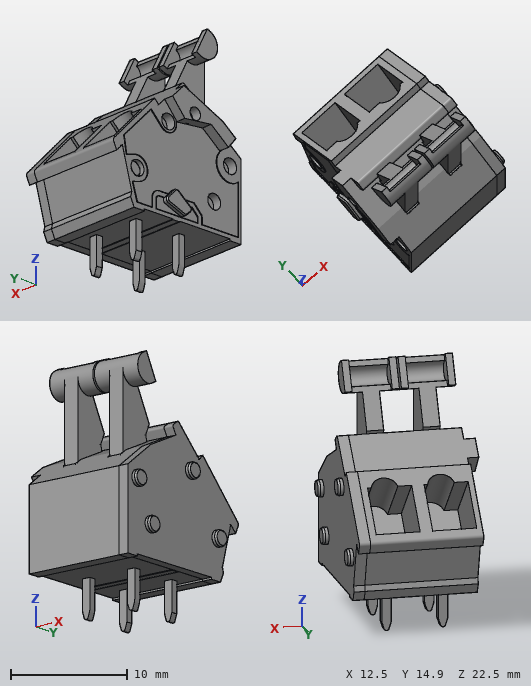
import cadquery as cq
import math


housing_length = 10.0
cover_thickness = 1.0
flange_thickness = 1.01
poles = 2
pole_pitch = 5.0
first_pole_x = pole_pitch / 2

front_wall_top = 7.94
roof_break = (3.05, 10.27)
foot_height = 0.18
front_foot_length = 1.28
rear_foot_start = 11.28
ridge_fillet = 0.2
ridge_foot_y = 6.47
ridge_front = (6.02, 12.61)
ridge_top = (6.8, 13.17)
step_bottom = (9.65, 10.32)
roof_end_y = 7.62
step_top = (10.12, 10.8)
lip_corner = (15.0, 5.66)
lip_fillet = 0.31
lip_underside = [(14.57, 4.75), (13.9, 5.42)]
rear_wall = [(12.8, 1.4), (12.93, 0.88), (12.52, 0)]

rib_start = 7.17
rib_width = 0.79
rib_height = 0.07

flange_inner_edge = [(2.4, 8.05), (4.43, 9.62), (7.5, 9.33)]
flange_front_y = 1.53
flange_rear_y = 8.95
flange_hole_center = (6.3, 10.1)
flange_hole_diameter = 1.21

rear_peg = (12.12, 3.78)
step_peg = (8.52, 9.05)
floor_peg = (3.05, 3.17)
front_peg = (1.28, 6.92)
peg_centers = [rear_peg, step_peg, floor_peg, front_peg]
peg_diameter = 1.5
peg_length = 0.5
peg_tip_length = 0.2
peg_tip_inset = 0.1
peg_hole_depth = 1.0

recess_depth = 0.1
recess_floor = 0.6
recess_front = 0.27
recess_rear_edge = [(10.5, 9.67), (13.67, 6.4), (13.38, 4.72), (12.12, recess_floor)]
rear_boss_radius = 1.21
rear_boss_tilt = 15.3
rear_boss_reach = 2.25
step_boss_radius = 1.0
front_boss_radius = 1.55

arch_rear = 10.36
arch_front = 4.55
arch_top = 2.35
arch_wall = 0.47
arch_rear_radius = 0.83
arch_slope = 0.95
arch_front_radius = 0.34

nub_corners = [(7.87, 3.0), (5.93, 1.45), (6.83, 0.65), (9.26, 1.57)]
nub_corner_radius = 0.34
nub_height = 0.43
nub_edge_height = 0.15
nub_edge_inset = 0.1

entry_width = 3.9
entry_shift = -0.05
entry_depth = 5.17
entry_bottom_y = 14.39
entry_top_y = 11.26
wire_hole_diameter = 2.45
wire_hole_shift = 0.4
wire_hole_top_y = 10.65

lever_stem_width = 1.5
lever_head_width = 4.8
lever_tilt = 27.0
lever_head_center = (4.05, 17.51)
lever_head_radius = 1.4
lever_lug_rise = 0.5
lever_lug_width = 0.63
lever_scoop_radius = 0.88
stem_heel_z = 13.22
stem_waist = [(5.73, 12.16), (5.93, 11.46)]
stem_slot_front = 2.43
stem_slot_depth = 0.45
stem_slot_width = 1.37

rear_pin_y = 10.03
front_pin_y = 5.01
pin_width = 0.83
pin_thickness = 0.67
pin_length = 3.5
pin_taper_length = 0.76
pin_shoulder_radius = 1.01
pin_tip_length = 0.18
pin_tip_width = 0.45


def line_z(start, end, y):
    """Height at a given Y on the line through two (Y, Z) points."""
    return start[1] + (end[1] - start[1]) * (y - start[0]) / (end[0] - start[0])


front_edge = (0, front_wall_top)
roof_end = (roof_end_y, line_z(ridge_top, step_bottom, roof_end_y))


def prism(points, start_x, length):
    """Solid with a (Y, Z) outline, reaching from start_x along +X."""
    return cq.Workplane("YZ").workplane(offset=start_x).polyline(points).close().extrude(length)


def cylinder(center, diameter, start_x, length):
    """Round solid along +X with its axis at a (Y, Z) place."""
    y, z = center
    return cq.Workplane("YZ").workplane(offset=start_x).center(y, z).circle(diameter / 2).extrude(length)


def shell(start_x, length):
    """Slice of the block's outer shape, with the ridge and both feet."""
    outline = [
        (0, 0), front_edge, roof_break, (ridge_foot_y, line_z(roof_break, roof_end, ridge_foot_y)),
        ridge_front, ridge_top, step_bottom, step_top,
        lip_corner, *lip_underside, *rear_wall,
        (rear_foot_start, 0), (rear_foot_start, foot_height),
        (front_foot_length, foot_height), (front_foot_length, 0),
    ]
    body = prism(outline, start_x, length)
    for (y, z), radius in (
        (ridge_front, ridge_fillet), (ridge_top, ridge_fillet), (lip_corner, lip_fillet),
    ):
        corner = cq.selectors.NearestToPointSelector((start_x + length / 2, y, z))
        body = body.edges("|X").edges(corner).fillet(radius)
    return body


def flange():
    """Raised band along the roof, standing out from the end face."""
    front = (flange_front_y, line_z(front_edge, roof_break, flange_front_y))
    rear = (flange_rear_y, line_z(ridge_top, step_bottom, flange_rear_y))
    outline = [front, *flange_inner_edge, rear, roof_end, roof_break]
    return prism(outline, -flange_thickness, flange_thickness)


def boss_strip(center, radius, angle, length):
    """Straight bar as wide as a boss, reaching from its centre at an angle to +Y."""
    y, z = center
    bar = cq.Workplane("YZ").center(y, z).transformed(rotate=(0, 0, angle))
    return bar.center(length / 2, 0).rect(length, 2 * radius).extrude(recess_depth)


def arch_area(inset):
    """Area under the arch's outer (inset 0) or inner line."""
    rear = arch_rear - inset
    front = arch_front + inset
    top = arch_top - inset
    radius = arch_rear_radius - inset
    slope = arch_slope - inset / 2
    area = (
        cq.Workplane("YZ")
        .moveTo(rear, recess_floor)
        .lineTo(rear, top - radius)
        .radiusArc((rear - radius, top), -radius)
        .lineTo(front + slope, top)
        .lineTo(front, top - slope)
        .lineTo(front, recess_floor)
        .close()
        .extrude(recess_depth)
    )
    knee = cq.selectors.NearestToPointSelector((recess_depth / 2, front, top - slope))
    return area.edges("|X").edges(knee).fillet(arch_front_radius)


def end_recess():
    """Shallow recess that leaves the rim, three peg bosses and the arch wall standing."""
    offset = step_boss_radius * math.sqrt(0.5)
    step_tangent = (step_peg[0] + offset, step_peg[1] - offset)
    outline = [
        (recess_front, recess_floor), (recess_front, front_peg[1]), *flange_inner_edge,
        step_peg, step_tangent, *recess_rear_edge,
    ]
    recess = prism(outline, 0, recess_depth)
    for center, radius in (
        (rear_peg, rear_boss_radius), (step_peg, step_boss_radius), (front_peg, front_boss_radius),
    ):
        recess = recess.cut(cylinder(center, 2 * radius, 0, recess_depth))
    recess = recess.cut(boss_strip(rear_peg, rear_boss_radius, -rear_boss_tilt, rear_boss_reach))
    return recess.cut(arch_area(0)).union(arch_area(arch_wall))


def latch_nub():
    """Four-sided nub with rounded corners and a bevelled rim, rising from the recess floor."""
    nub = prism(nub_corners, -nub_height, nub_height + recess_depth)
    nub = nub.edges("|X").fillet(nub_corner_radius)
    return nub.faces("<X").chamfer(nub_edge_height, nub_edge_inset)


def wire_entry(pole_x):
    """Rectangular pocket and round hole, both square to the rear slope."""
    run = step_top[0] - lip_corner[0]
    rise = step_top[1] - lip_corner[1]
    slope_length = math.hypot(run, rise)
    normal = (0, rise / slope_length, -run / slope_length)
    origin = (pole_x, entry_bottom_y, line_z(step_top, lip_corner, entry_bottom_y))
    slope_plane = cq.Workplane(cq.Plane(origin=origin, xDir=(1, 0, 0), normal=normal))
    stretch = slope_length / abs(run)
    pocket_height = (entry_bottom_y - entry_top_y) * stretch
    hole_y = (entry_bottom_y - wire_hole_top_y) * stretch - wire_hole_diameter / 2
    pocket = slope_plane.center(entry_shift, -pocket_height / 2)
    pocket = pocket.rect(entry_width, pocket_height).extrude(-entry_depth)
    hole = slope_plane.center(wire_hole_shift, -hole_y).circle(wire_hole_diameter / 2).extrude(-entry_depth)
    return pocket.union(hole)


def lever_plane(x):
    """Plane across the lever head, its second axis along the head's flat side."""
    tilt = math.radians(lever_tilt)
    along_x = (0, math.cos(tilt), math.sin(tilt))
    return cq.Workplane(cq.Plane(origin=(x, *lever_head_center), xDir=along_x, normal=(1, 0, 0)))


def lever_head(pole_x):
    """D-shaped bar with a finger scoop between two end lugs."""
    start = pole_x - lever_head_width / 2
    radius = lever_head_radius
    head = (
        lever_plane(start)
        .moveTo(lever_lug_rise, -radius)
        .lineTo(lever_lug_rise, radius)
        .lineTo(0, radius)
        .threePointArc((-radius, 0), (0, -radius))
        .close()
        .extrude(lever_head_width)
    )
    span = lever_head_width - 2 * lever_lug_width
    middle = lever_plane(start + lever_lug_width)
    gap = middle.center(lever_lug_rise / 2, 0).rect(lever_lug_rise, 2 * radius).extrude(span)
    scoop = middle.circle(lever_scoop_radius).extrude(span)
    return head.cut(gap).cut(scoop)


def stem_front_y():
    """Front of a lever stem, in line with the front of the round head."""
    return lever_head_center[0] - lever_head_radius


def lever_stem(pole_x):
    """Flat arm from the head down into the roof, its upper back flush with the head's middle plane."""
    y, z = lever_head_center
    front = stem_front_y()
    heel_y = y + (z - stem_heel_z) * math.tan(math.radians(lever_tilt))
    outline = [(front, z), lever_head_center, (heel_y, stem_heel_z), *stem_waist, (front, front_wall_top)]
    stem = prism(outline, pole_x - lever_stem_width / 2, lever_stem_width)
    scoop = lever_plane(pole_x - lever_stem_width / 2).circle(lever_scoop_radius).extrude(lever_stem_width)
    return stem.cut(scoop)


def stem_slot(pole_x):
    """Clearance slot in the front roof just ahead of a lever stem."""
    floor = line_z(front_edge, roof_break, stem_slot_front) - stem_slot_depth
    length = stem_front_y() - stem_slot_front
    height = roof_break[1] - floor
    slot = cq.Workplane("XY").box(stem_slot_width, length, height, centered=(True, False, False))
    return slot.translate((pole_x, stem_slot_front, floor))


def pin(pole_x, center_y):
    """Solder pin, tapering in width to a blunt tip."""
    half = pin_width / 2
    tip_half = pin_tip_width / 2
    taper_z = pin_taper_length - pin_length
    tip_z = pin_tip_length - pin_length
    return (
        cq.Workplane("XZ")
        .workplane(offset=-center_y - pin_thickness / 2)
        .moveTo(pole_x - half, recess_floor)
        .lineTo(pole_x - half, taper_z)
        .lineTo(pole_x - tip_half, tip_z)
        .threePointArc((pole_x, -pin_length), (pole_x + tip_half, tip_z))
        .lineTo(pole_x + half, taper_z)
        .lineTo(pole_x + half, recess_floor)
        .close()
        .extrude(pin_thickness)
    )


def round_shouldered_pin(pole_x, center_y):
    """Solder pin with the start of its taper rounded."""
    body = pin(pole_x, center_y)
    taper_z = pin_taper_length - pin_length
    for side in (-1, 1):
        shoulder = cq.selectors.NearestToPointSelector((pole_x + side * pin_width / 2, center_y, taper_z))
        body = body.edges("|Y").edges(shoulder).fillet(pin_shoulder_radius)
    return body


def floor_rib():
    """Low rib under the floor, across the row."""
    rib = cq.Workplane("XY").box(housing_length, rib_width, rib_height, centered=False)
    return rib.translate((0, rib_start, foot_height - rib_height))


def make_housing():
    """Housing with its flange, levers and solder pins in one piece."""
    body = shell(0, housing_length).union(flange()).cut(end_recess()).union(latch_nub())
    body = body.union(floor_rib())
    body = body.cut(
        cylinder(flange_hole_center, flange_hole_diameter, -flange_thickness, flange_thickness)
    )
    for center in peg_centers:
        body = body.cut(cylinder(center, peg_diameter, 0, peg_hole_depth))
    for pole in range(poles):
        pole_x = first_pole_x + pole * pole_pitch
        body = body.cut(wire_entry(pole_x)).cut(stem_slot(pole_x))
        body = body.union(lever_stem(pole_x)).union(lever_head(pole_x))
        body = body.union(pin(pole_x, rear_pin_y)).union(round_shouldered_pin(pole_x, front_pin_y))
    return body


def make_cover():
    """End plate with the same outline and four bevelled coupling pegs."""
    outer_x = housing_length + cover_thickness
    body = shell(housing_length, cover_thickness)
    for center in peg_centers:
        peg = cylinder(center, peg_diameter, outer_x, peg_length)
        peg = peg.faces(">X").chamfer(peg_tip_length, peg_tip_inset)
        body = body.union(peg)
    return body


housing = make_housing()
cover = make_cover()

result = cq.Compound.makeCompound([housing.val(), cover.val()])